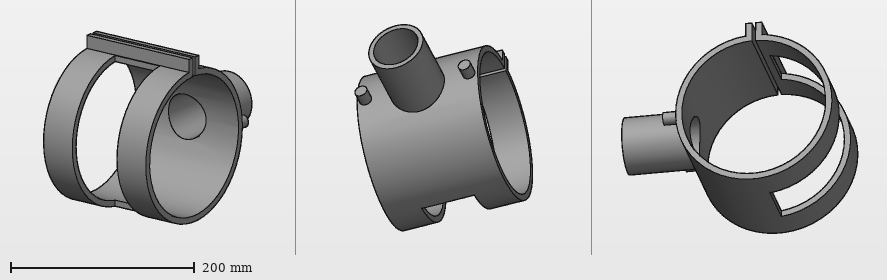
import cadquery as cq

RING_WIDTH = 140.0
INNER_RADIUS = 80.0
RING_WALL = 7.0
OUTER_RADIUS = INNER_RADIUS + RING_WALL

SPLIT_GAP = 4.0
EAR_THICKNESS = 7.0
EAR_TOP_Z = 101.5
EAR_OUTER_Y = SPLIT_GAP / 2 + EAR_THICKNESS

WINDOW_WIDTH = 61.0
WINDOW_BACK_Y = -10.0

TUBE_OUTER_DIAMETER = 63.0
TUBE_BORE_DIAMETER = 51.4
TUBE_END_Y = 155.0

PEG_DIAMETER = 14.0
PEG_SPACING = 120.0
PEG_PROTRUSION = 15.0
PEG_END_Y = OUTER_RADIUS + PEG_PROTRUSION


def cylinder_along_x(radius):
    """Cylinder as wide as the ring, centred on the origin."""
    end_face = cq.Workplane("YZ", origin=(-RING_WIDTH / 2, 0, 0))
    return end_face.circle(radius).extrude(RING_WIDTH)


def cylinder_along_y(diameter, end_y, x=0.0):
    """Cylinder from the ring axis plane out to end_y on the +Y side."""
    return cq.Workplane("XZ").center(x, 0).circle(diameter / 2).extrude(-end_y)


def block_above_axis(depth_y):
    """Block as wide as the ring, from the ring axis up to the ear tops."""
    return cq.Workplane("XY").rect(RING_WIDTH, depth_y).extrude(EAR_TOP_Z)


def window_cutter():
    """Box that removes the middle of the ring in front of WINDOW_BACK_Y."""
    depth = OUTER_RADIUS + WINDOW_BACK_Y
    box = cq.Workplane("XY").box(WINDOW_WIDTH, depth, 2 * OUTER_RADIUS)
    return box.translate((0, WINDOW_BACK_Y - depth / 2, 0))


body = cylinder_along_x(OUTER_RADIUS)
body = body.union(block_above_axis(2 * EAR_OUTER_Y))
body = body.union(cylinder_along_y(TUBE_OUTER_DIAMETER, TUBE_END_Y))
for peg_x in (-PEG_SPACING / 2, PEG_SPACING / 2):
    body = body.union(cylinder_along_y(PEG_DIAMETER, PEG_END_Y, peg_x))

body = body.cut(cylinder_along_x(INNER_RADIUS))
body = body.cut(block_above_axis(SPLIT_GAP))
body = body.cut(cylinder_along_y(TUBE_BORE_DIAMETER, TUBE_END_Y))
body = body.cut(window_cutter())

result = body